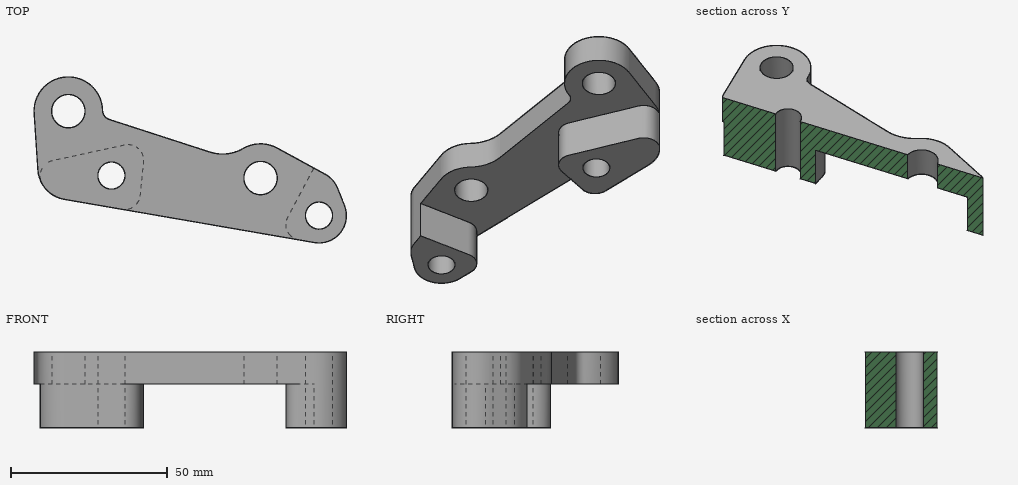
import cadquery as cq
import math

plate_thickness = 10.3
total_height = 24.2
leg_height = total_height - plate_thickness

left_large_hole = (11.0, 42.1)
right_large_hole = (72.3, 20.7)
left_small_hole = (24.7, 21.5)
right_small_hole = (91.0, 8.8)
large_hole_radius = 5.3
small_hole_radius = 4.3

large_boss_radius = 11.0
end_radius = 8.8
corner_radius = 10.3
corner_center = (11.5, 24.0)
shoulder_center = (88.8, 14.3)
valley_radius = 13.0
valley_angle = 120.4
neck_radius = 3.0
neck_angle = 1.0

leg_corner_radius = 5.0
left_leg_upper_left = (7.0, 21.4)
left_leg_upper_right = (30.0, 26.4)
left_leg_lower_right_x = 28.9
left_leg_limit_x = 2.2
right_leg_lower_left_x = 85.4
right_leg_limit_x = 104.7
right_leg_limit_y = 25.9
right_leg_upper_left_x = 90.4


def polar_offset(center, distance, angle):
    """Point at a distance and an angle in degrees from a centre."""
    a = math.radians(angle)
    return (center[0] + distance * math.cos(a), center[1] + distance * math.sin(a))


def tangent_normal(first, second):
    """Angle of the outward normal of the tangent line joining two signed circles."""
    (x1, y1), r1 = first
    (x2, y2), r2 = second
    length = math.hypot(x2 - x1, y2 - y1)
    cosine = max(-1.0, min(1.0, (r1 - r2) / length))
    return math.atan2(y2 - y1, x2 - x1) - math.acos(cosine)


def rounded_outline(circles, height):
    """Extrude a counter-clockwise chain of circles joined by tangent lines.

    A negative radius makes a concave arc and a zero radius a sharp corner.
    """
    count = len(circles)
    normals = [tangent_normal(circles[i], circles[(i + 1) % count]) for i in range(count)]
    arcs = []
    for i, (center, radius) in enumerate(circles):
        start = normals[i - 1]
        sweep = (normals[i] - start) % math.tau
        if radius < 0:
            sweep -= math.tau
        angles = (start, start + sweep / 2, start + sweep)
        arcs.append([polar_offset(center, radius, math.degrees(a)) for a in angles])

    touch_tolerance = 0.0001
    outline = cq.Workplane("XY").moveTo(*arcs[0][0])
    position = arcs[0][0]
    for (_, radius), (start, middle, end) in zip(circles, arcs):
        if math.dist(position, start) > touch_tolerance:
            outline = outline.lineTo(*start)
        if radius != 0:
            outline = outline.threePointArc(middle, end)
        position = end
    return outline.close().extrude(height)


valley_center = polar_offset(right_large_hole, large_boss_radius + valley_radius, valley_angle)
neck_center = polar_offset(left_large_hole, large_boss_radius + neck_radius, neck_angle)

corner = (corner_center, corner_radius)
end = (right_small_hole, end_radius)
plate_circles = [
    (left_large_hole, large_boss_radius),
    corner,
    end,
    (shoulder_center, end_radius),
    (right_large_hole, large_boss_radius),
    (valley_center, -valley_radius),
    (neck_center, -neck_radius),
]

edge_normal = math.degrees(tangent_normal(corner, end))
edge_point = polar_offset(corner_center, corner_radius, edge_normal)
edge_slope = math.tan(math.radians(edge_normal + 90))


def on_lower_edge(x):
    """Point of the long lower edge, or of its extension, at the given x."""
    return (x, edge_point[1] + edge_slope * (x - edge_point[0]))


def inside_lower_edge(x):
    """Centre at the given x of a leg corner tangent to the long lower edge."""
    rise = leg_corner_radius / abs(math.sin(math.radians(edge_normal)))
    return (x, on_lower_edge(x)[1] + rise)


plate = rounded_outline(plate_circles, plate_thickness).translate((0, 0, leg_height))
leg_bounds = rounded_outline(plate_circles, leg_height)

left_leg = rounded_outline(
    [
        (on_lower_edge(left_leg_limit_x), 0),
        (inside_lower_edge(left_leg_lower_right_x), leg_corner_radius),
        (left_leg_upper_right, leg_corner_radius),
        (left_leg_upper_left, leg_corner_radius),
    ],
    leg_height,
).intersect(leg_bounds)

right_leg = rounded_outline(
    [
        (inside_lower_edge(right_leg_lower_left_x), leg_corner_radius),
        (on_lower_edge(right_leg_limit_x), 0),
        ((right_leg_limit_x, right_leg_limit_y), 0),
        ((right_leg_upper_left_x, right_leg_limit_y), 0),
    ],
    leg_height,
).intersect(leg_bounds)

result = plate.union(left_leg).union(right_leg)

for center, radius in (
    (left_large_hole, large_hole_radius),
    (right_large_hole, large_hole_radius),
    (left_small_hole, small_hole_radius),
    (right_small_hole, small_hole_radius),
):
    hole = cq.Workplane("XY").center(*center).circle(radius).extrude(total_height)
    result = result.cut(hole)